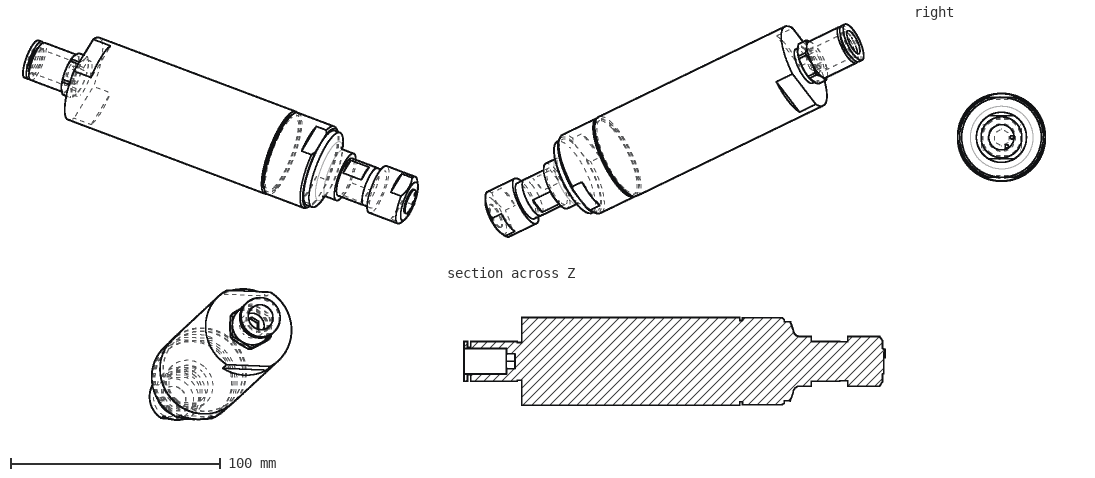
import cadquery as cq
import math

fitting_lip_end = 1.8
fitting_groove_end = 3.2
fitting_end = 20.3
hex_end = 25.5
body_start = 27.5
body_end = 131.6
head_start = 132.8
head_end = 153.0
collar_end = 155.7
cone_end = 157.1
hub_end = 165.8
spindle_thin_start = 179.2
nut_start = 183.0
nut_chamfer_start = 198.3
nut_end = 199.7
nose_end = 200.3
total_length = 201.0

fitting_diameter = 19.0
fitting_groove_diameter = 13.3
fitting_bore_diameter = 12.0
neck_diameter = 18.0
body_diameter = 42.0
body_groove_diameter = 39.0
head_diameter = 41.5
head_chamfer_length = 1.0
head_chamfer_height = 0.8
collar_diameter = 38.0
hub_diameter = 24.0
hub_fillet = 3.0
spindle_diameter = 19.0
spindle_thin_diameter = 18.9
nut_diameter = 24.0
nut_face_diameter = 19.5
nose_diameter = 12.0

pad_diameter = 1.6
pad_circle_radius = 5.0
pad_angles = (0, -60)

wrench_hex_flats = 19.0
wrench_hex_corner_diameter = 21.3
wrench_hex_chamfer_length = 0.6
wrench_hex_chamfer_height = 1.2
fitting_bore_depth = fitting_end
socket_flats = 7.0
socket_depth = 4.0

body_flat_length = 9.0
body_flat_width = 36.2
head_flat_start = 146.7
head_flat_width = 38.2
spindle_flat_start = 166.8
spindle_flat_length = 9.6
spindle_flat_width = 17.0
nut_flat_start = 192.9
nut_flat_width = 20.5


def cylinder(start, end, diameter):
    """Solid cylinder on the X axis."""
    return cq.Workplane("YZ").workplane(offset=start).circle(diameter / 2).extrude(end - start)


def hex_bar(start, end, flats):
    """Hexagonal bar on the X axis with corners pointing up and down."""
    corner_diameter = flats / math.cos(math.radians(30))
    bar = cq.Workplane("YZ").workplane(offset=start).polygon(6, corner_diameter).extrude(end - start)
    return bar.rotate((0, 0, 0), (1, 0, 0), 90)


def cut_flats(part, start, end, width):
    """Remove what lies above and below a pair of parallel flats."""
    for side in (1, -1):
        waste = cq.Workplane("XY").box(end - start, body_diameter, body_diameter)
        waste = waste.translate(((start + end) / 2, 0, side * (width + body_diameter) / 2))
        part = part.cut(waste)
    return part


def make_fitting():
    """Tube fitting with a retaining lip, a wrench hexagon and a neck."""
    lip = cylinder(0, fitting_lip_end, fitting_diameter)
    groove = cylinder(fitting_lip_end, fitting_groove_end, fitting_groove_diameter)
    sleeve = cylinder(fitting_groove_end, fitting_end, fitting_diameter)
    rounding = cylinder(fitting_end, hex_end, wrench_hex_corner_diameter)
    rounding_edges = rounding.faces("<X or >X").edges()
    rounding = rounding_edges.chamfer(wrench_hex_chamfer_length, wrench_hex_chamfer_height)
    wrench_hex = hex_bar(fitting_end, hex_end, wrench_hex_flats).intersect(rounding)
    neck = cylinder(hex_end, body_start, neck_diameter)
    return lip.union(groove).union(sleeve).union(wrench_hex).union(neck)


def make_body():
    """Main cylinder with wrench flats at its rear end."""
    body = cylinder(body_start, body_end, body_diameter)
    return cut_flats(body, body_start, body_start + body_flat_length, body_flat_width)


def make_head():
    """Front head behind a shallow groove, chamfered and flattened at its front end."""
    groove = cylinder(body_end, head_start, body_groove_diameter)
    head = cylinder(head_start, head_end, head_diameter)
    head = head.faces(">X").edges().chamfer(head_chamfer_length, head_chamfer_height)
    head = cut_flats(head, head_flat_start, head_end, head_flat_width)
    return groove.union(head)


def make_hub():
    """Collar that narrows through a cone and a concave fillet to the hub."""
    hub_radius = hub_diameter / 2
    fillet_offset = hub_fillet * (1 - math.sqrt(0.5))
    return (
        cq.Workplane("XY")
        .moveTo(head_end, 0)
        .lineTo(head_end, collar_diameter / 2)
        .lineTo(collar_end, collar_diameter / 2)
        .lineTo(cone_end, hub_radius + hub_fillet)
        .threePointArc(
            (cone_end + fillet_offset, hub_radius + fillet_offset),
            (cone_end + hub_fillet, hub_radius),
        )
        .lineTo(hub_end, hub_radius)
        .lineTo(hub_end, 0)
        .close()
        .revolve(360, (0, 0, 0), (1, 0, 0))
    )


def make_spindle():
    """Spindle with a pair of wrench flats, slightly thinner next to the nut."""
    spindle = cylinder(hub_end, spindle_thin_start, spindle_diameter)
    flat_end = spindle_flat_start + spindle_flat_length
    spindle = cut_flats(spindle, spindle_flat_start, flat_end, spindle_flat_width)
    return spindle.union(cylinder(spindle_thin_start, nut_start, spindle_thin_diameter))


def make_nut():
    """Clamping nut with a conical front edge, wrench flats and a nose carrying small pads."""
    nut = cylinder(nut_start, nut_end, nut_diameter)
    chamfer_length = nut_end - nut_chamfer_start
    chamfer_height = (nut_diameter - nut_face_diameter) / 2
    nut = nut.faces(">X").edges().chamfer(chamfer_length, chamfer_height)
    nut = cut_flats(nut, nut_flat_start, nut_end, nut_flat_width)
    nose = cylinder(nut_end, nose_end, nose_diameter)
    nut = nut.union(nose)
    for angle in pad_angles:
        pad = cylinder(nose_end, total_length, pad_diameter).translate((0, pad_circle_radius, 0))
        nut = nut.union(pad.rotate((0, 0, 0), (1, 0, 0), angle))
    return nut


result = make_fitting()
for section in (make_body(), make_head(), make_hub(), make_spindle(), make_nut()):
    result = result.union(section)

result = result.cut(cylinder(0, fitting_bore_depth, fitting_bore_diameter))
result = result.cut(hex_bar(fitting_bore_depth, fitting_bore_depth + socket_depth, socket_flats))